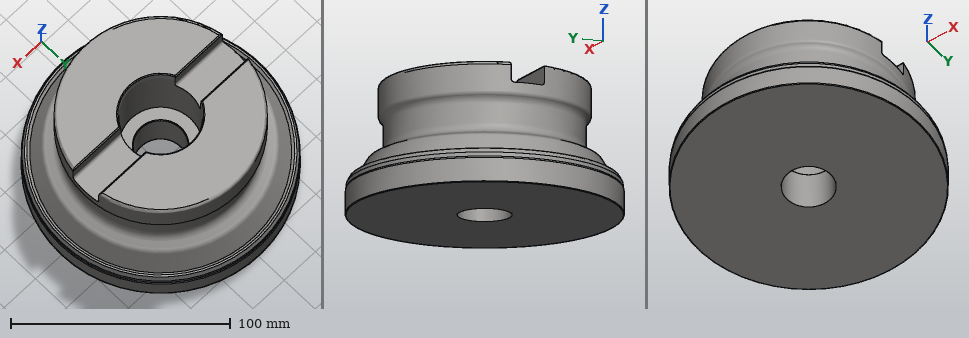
import cadquery as cq

height = 60.3
base_radius = 63.5
base_edge_chamfer = 0.4
base_top_z = 12.0
base_top_chamfer = 0.8
rim_radius = 63.1
rim_chamfer_z = 14.0
rim_top_radius = 62.0
rim_top_z = 16.1
rim_inner_radius = 60.9
notch_radius = 59.5
notch_z = 15.1
cone_top_radius = 54.1
cone_top_z = 24.0
shoulder_round_mid = (53.2, 25.0)
shoulder_round_radius = 51.9
shoulder_round_z = 25.6
shoulder_radius = 48.9
shoulder_z = 27.0
neck_radius = 92.4 / 2
neck_bottom_z = 31.7
neck_top_z = 40.9
lower_flare_mid = (46.8, 29.1)
upper_flare_mid = (46.5, 42.7)
head_radius = 97.0 / 2
head_underside = (47.5, 44.3)
head_side_z = 46.1
head_under_mid = (48.2, 45.2)
head_edge_fillet = 1.5

bore_diameter = 25.0
bore_edge_chamfer = 0.4
counterbore_diameter = 38.1
counterbore_depth = 38.1
entry_diameter = 39.1
entry_depth = 3.7
entry_edge_chamfer = 0.5

slot_width = 16.5
slot_depth = 9.5
slot_floor_fillet = 1.5
slot_edge_chamfer = 0.6


def make_body():
    """Revolve the half profile of base, rim notch, cone, neck and head about Z."""
    profile = (
        cq.Workplane("XZ")
        .moveTo(0, 0)
        .lineTo(base_radius - base_edge_chamfer, 0)
        .lineTo(base_radius, base_edge_chamfer)
        .lineTo(base_radius, base_top_z - base_top_chamfer)
        .lineTo(rim_radius, base_top_z)
        .lineTo(rim_radius, rim_chamfer_z)
        .lineTo(rim_top_radius, rim_top_z)
        .lineTo(rim_inner_radius, rim_top_z)
        .lineTo(notch_radius, notch_z)
        .lineTo(cone_top_radius, cone_top_z)
        .threePointArc(shoulder_round_mid, (shoulder_round_radius, shoulder_round_z))
        .lineTo(shoulder_radius, shoulder_z)
        .threePointArc(lower_flare_mid, (neck_radius, neck_bottom_z))
        .lineTo(neck_radius, neck_top_z)
        .threePointArc(upper_flare_mid, head_underside)
        .threePointArc(head_under_mid, (head_radius, head_side_z))
        .lineTo(head_radius, height)
        .lineTo(0, height)
        .close()
    )
    body = profile.revolve(360, (0, 0, 0), (0, 1, 0))
    return body.faces(">Z").edges().fillet(head_edge_fillet)


def make_bore():
    """Stepped bore: tapered entry, counterbore and through hole, with broken edges."""
    hole_radius = bore_diameter / 2
    counterbore_radius = counterbore_diameter / 2
    entry_radius = entry_diameter / 2
    floor_z = height - counterbore_depth
    entry_z = height - entry_depth
    return (
        cq.Workplane("XZ")
        .moveTo(0, 0)
        .lineTo(hole_radius, 0)
        .lineTo(hole_radius, floor_z - bore_edge_chamfer)
        .lineTo(hole_radius + bore_edge_chamfer, floor_z)
        .lineTo(counterbore_radius, floor_z)
        .lineTo(counterbore_radius, entry_z)
        .lineTo(entry_radius, height - entry_edge_chamfer)
        .lineTo(entry_radius + entry_edge_chamfer, height)
        .lineTo(0, height)
        .close()
        .revolve(360, (0, 0, 0), (0, 1, 0))
    )


def make_slot():
    """Driving slot across the head along X, with rounded floor and chamfered top edges."""
    length = 2 * base_radius
    channel = (
        cq.Workplane("XY", origin=(0, 0, height - slot_depth))
        .box(length, slot_width, slot_depth, centered=(True, True, False))
        .faces("<Z").edges("|X").fillet(slot_floor_fillet)
    )
    half_width = slot_width / 2
    edge_break = (
        cq.Workplane("YZ", origin=(-length / 2, 0, 0))
        .moveTo(-half_width, height - slot_edge_chamfer)
        .lineTo(half_width, height - slot_edge_chamfer)
        .lineTo(half_width + slot_edge_chamfer, height)
        .lineTo(-half_width - slot_edge_chamfer, height)
        .close()
        .extrude(length)
    )
    return channel.union(edge_break)


result = make_body().cut(make_slot()).cut(make_bore())